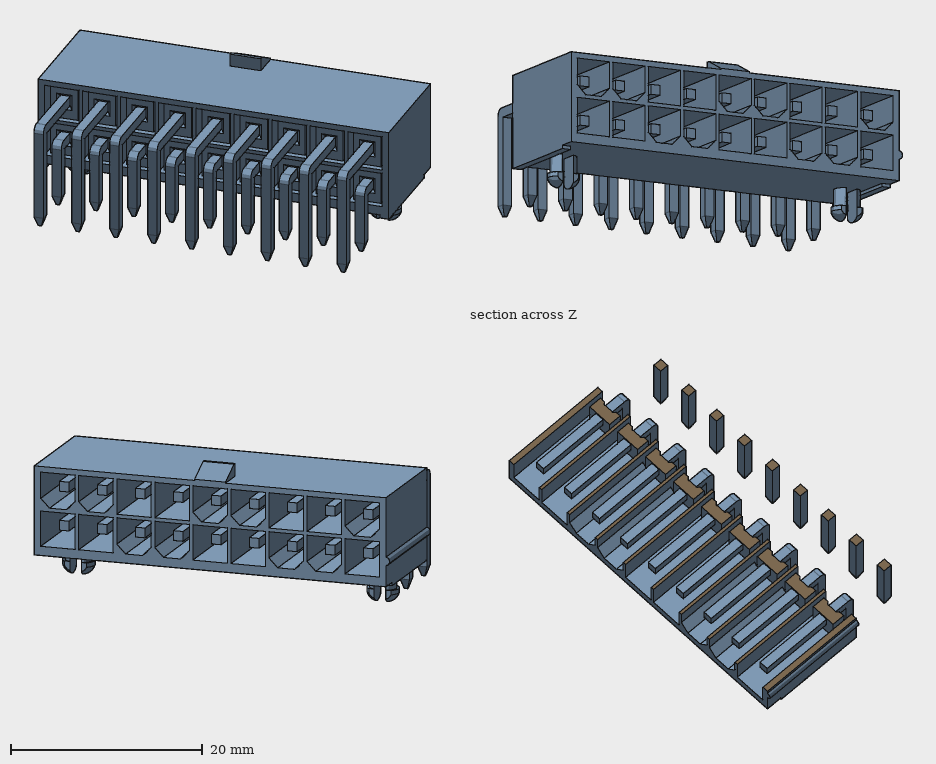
import cadquery as cq
import math


COLUMNS = 9
PITCH = 4.2
LOWER_ROW_Z = 3.25
UPPER_ROW_Z = LOWER_ROW_Z + PITCH
COLUMN_XS = [(i - (COLUMNS - 1) / 2) * PITCH for i in range(COLUMNS)]

BODY_WIDTH = 38.9
BODY_DEPTH = 12.85
BODY_TOP_Z = 10.0
FOOT_HEIGHT = 0.35
FOOT_WIDTH = 1.0
FOOT_SETBACK = 1.95

CELL_SIZE = PITCH - 0.4
PAD_WIDTH = 3.03
PAD_RECESS = 0.7
PAD_THICKNESS = 1.57
KEY_CHAMFER = 1.0
KEYED_UPPER = (0, 3, 4, 7, 8)
KEYED_LOWER = (1, 2, 5, 6)

PIN_SIZE = 1.05
MOUTH_SIZE = 1.73
MOUTH_DEPTH = 0.4
PIN_SETBACK = 1.95
LOWER_PIN_REACH = 1.6
UPPER_PIN_REACH = 7.1
BEND_RADIUS = 0.8
PIN_BOTTOM_Z = -3.55
TIP_LENGTH = 1.1
TIP_SIZE = 0.35

LATCH_WIDTH = 3.4
LATCH_LENGTH = 3.03
LATCH_FLAT = 0.35
LATCH_HEIGHT = 1.38
LATCH_NOSE = 0.1
RIDGE_RADIUS = 0.47
RIDGE_HEIGHT = 0.4
RIDGE_Z = 3.1

PEG_Y = 6.25
PEG_DEPTH = 2.1
PEG_WIDTH = 2.9
PEG_HEAD_WIDTH = 3.45
PEG_SLOT = 1.25
PEG_HEAD_Z = -1.57
PEG_BAND = 0.47
PEG_DOME = 1.02


def box(width, depth, height, x, y, z):
    """Box centred on x, starting at y and z."""
    return cq.Workplane("XY").box(width, depth, height, centered=(True, False, False)).translate((x, y, z))


def housing_block():
    body = box(BODY_WIDTH, BODY_DEPTH, BODY_TOP_Z - FOOT_HEIGHT, 0, 0, FOOT_HEIGHT)
    foot_x = (BODY_WIDTH - FOOT_WIDTH) / 2
    for side in (-1, 1):
        body = body.union(box(FOOT_WIDTH, BODY_DEPTH - FOOT_SETBACK, FOOT_HEIGHT, side * foot_x, 0, 0))
    return body


def latch():
    rear_y = BODY_DEPTH - LATCH_LENGTH
    profile = [
        (BODY_DEPTH, BODY_TOP_Z),
        (rear_y, BODY_TOP_Z),
        (rear_y, BODY_TOP_Z + LATCH_HEIGHT),
        (rear_y + LATCH_FLAT, BODY_TOP_Z + LATCH_HEIGHT),
        (BODY_DEPTH, BODY_TOP_Z + LATCH_NOSE),
    ]
    return cq.Workplane("YZ").polyline(profile).close().extrude(LATCH_WIDTH / 2, both=True)


def side_ridge():
    centre_x = -BODY_WIDTH / 2 - RIDGE_HEIGHT + RIDGE_RADIUS
    return cq.Workplane("XZ").center(centre_x, RIDGE_Z).circle(RIDGE_RADIUS).extrude(-BODY_DEPTH)


def cell_cavity(z, keyed):
    """Empty space of a cell at X = 0: open at both ends, with slits past the pad and its tapered mouth."""
    half = CELL_SIZE / 2
    cavity = box(CELL_SIZE, BODY_DEPTH, CELL_SIZE, 0, 0, z - half)
    cavity = cavity.cut(box(PAD_WIDTH, PAD_THICKNESS, CELL_SIZE, 0, PAD_RECESS, z - half))
    if keyed:
        fill_y = PAD_RECESS + PAD_THICKNESS
        for side in (-1, 1):
            corner = [
                (side * half, z - half),
                (side * (half - KEY_CHAMFER), z - half),
                (side * half, z - half + KEY_CHAMFER),
            ]
            fill = cq.Workplane("XZ", origin=(0, fill_y, 0)).polyline(corner).close()
            cavity = cavity.cut(fill.extrude(fill_y - BODY_DEPTH))
    mouth = (
        cq.Workplane("XZ", origin=(0, PAD_RECESS, z))
        .rect(MOUTH_SIZE, MOUTH_SIZE)
        .workplane(offset=-MOUTH_DEPTH)
        .rect(PIN_SIZE, PIN_SIZE)
        .loft(ruled=True)
    )
    return cavity.union(mouth)


def pin(z, reach):
    """L-shaped pin at X = 0: contact along Y at height z, then a leg down to a pointed tip."""
    top_z = z + PIN_SIZE / 2
    leg_end_z = PIN_BOTTOM_Z + TIP_LENGTH
    end_y = BODY_DEPTH - PIN_SETBACK
    leg_y = PIN_SIZE / 2 - reach
    bend_offset = BEND_RADIUS * (1 - math.sqrt(0.5))
    bent = (
        cq.Workplane("YZ")
        .moveTo(end_y, top_z)
        .lineTo(BEND_RADIUS - reach, top_z)
        .threePointArc((bend_offset - reach, top_z - bend_offset), (-reach, top_z - BEND_RADIUS))
        .lineTo(-reach, leg_end_z)
        .lineTo(PIN_SIZE - reach, leg_end_z)
        .lineTo(PIN_SIZE - reach, top_z - PIN_SIZE)
        .lineTo(end_y, top_z - PIN_SIZE)
        .close()
        .extrude(PIN_SIZE / 2, both=True)
    )
    tip = (
        cq.Workplane("XY", origin=(0, leg_y, leg_end_z))
        .rect(PIN_SIZE, PIN_SIZE)
        .workplane(offset=-TIP_LENGTH)
        .rect(TIP_SIZE, TIP_SIZE)
        .loft(ruled=True)
    )
    return bent.union(tip)


def peg_prong(x, side):
    """One half of a split peg: round shank, and a wider domed head flattened to the shank's depth."""
    shank_radius = PEG_DEPTH / 2
    axis_x = x + side * (PEG_WIDTH / 2 - shank_radius)
    head_radius = shank_radius + (PEG_HEAD_WIDTH - PEG_WIDTH) / 2
    dome_radius = (head_radius**2 + PEG_DOME**2) / (2 * PEG_DOME)
    half_angle = math.asin(head_radius / dome_radius) / 2
    dome_start_z = -PEG_BAND
    dome_end_z = -PEG_BAND - PEG_DOME
    dome_mid = (dome_radius * math.sin(half_angle), dome_end_z + dome_radius * (1 - math.cos(half_angle)))
    shank = (
        cq.Workplane("XY", origin=(axis_x, PEG_Y, PEG_HEAD_Z))
        .circle(shank_radius)
        .extrude(FOOT_HEIGHT - PEG_HEAD_Z)
    )
    head = (
        cq.Workplane("XZ", origin=(axis_x, PEG_Y, PEG_HEAD_Z))
        .lineTo(head_radius, 0)
        .lineTo(head_radius, dome_start_z)
        .threePointArc(dome_mid, (0, dome_end_z))
        .close()
        .revolve(360, (0, 0, 0), (0, 1, 0))
    )
    keep_x = x + side * (PEG_SLOT + PEG_HEAD_WIDTH) / 2
    keep_z = PEG_HEAD_Z + dome_end_z
    keep = box(PEG_HEAD_WIDTH, PEG_DEPTH, FOOT_HEIGHT - keep_z, keep_x, PEG_Y - PEG_DEPTH / 2, keep_z)
    return shank.union(head).intersect(keep)


def group(shapes):
    """Separate solids gathered so that they are cut or joined together."""
    return cq.Workplane(cq.Compound.makeCompound([shape.val() for shape in shapes]))


rows = ((UPPER_ROW_Z, KEYED_UPPER, UPPER_PIN_REACH), (LOWER_ROW_Z, KEYED_LOWER, LOWER_PIN_REACH))
cavities = []
pins = []
for row_z, keyed_columns, reach in rows:
    plain_cavity = cell_cavity(row_z, False)
    keyed_cavity = cell_cavity(row_z, True)
    row_pin = pin(row_z, reach)
    for column, column_x in enumerate(COLUMN_XS):
        cavity = keyed_cavity if column in keyed_columns else plain_cavity
        cavities.append(cavity.translate((column_x, 0, 0)))
        pins.append(row_pin.translate((column_x, 0, 0)))

prongs = [peg_prong(x, side) for x in (COLUMN_XS[0], COLUMN_XS[-1]) for side in (-1, 1)]

housing = housing_block().union(latch()).union(side_ridge())
result = housing.cut(group(cavities)).union(group(pins)).union(group(prongs)).solids()